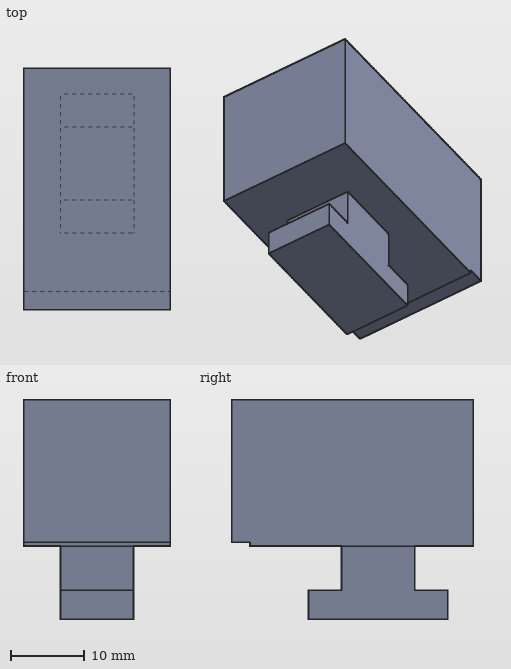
import cadquery as cq

block_width = 20.0
block_length = 33
block_height = 20.0

step_depth = 2.5
step_height = 0.5

total_height = 30.0
mount_width = block_width / 2
neck_length = 10.0
foot_length = 19.0
foot_height = 4.0
mount_to_back = 13.0

block_bottom = total_height - block_height
back_y = block_length / 2
front_y = -block_length / 2
mount_y = back_y - mount_to_back


def box_on(width, length, height, center_y, bottom_z):
    """Box centred on X and on center_y, standing on bottom_z."""
    box = cq.Workplane("XY").box(width, length, height, centered=(True, True, False))
    return box.translate((0, center_y, bottom_z))


block = box_on(block_width, block_length, block_height, 0, block_bottom)
step = box_on(block_width, step_depth, step_height, front_y + step_depth / 2, block_bottom)
neck = box_on(mount_width, neck_length, block_bottom - foot_height, mount_y, foot_height)
foot = box_on(mount_width, foot_length, foot_height, mount_y, 0)

result = block.cut(step).union(neck).union(foot)